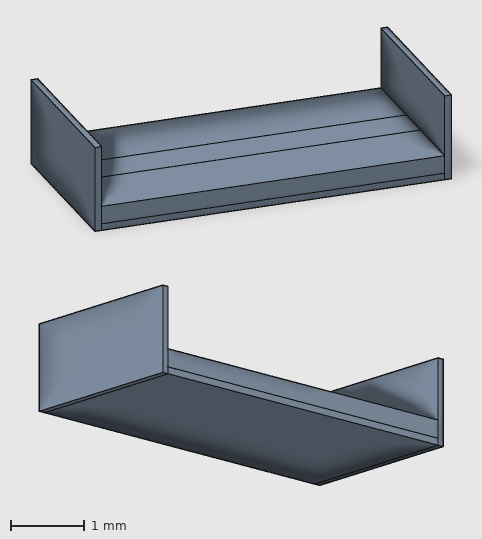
import cadquery as cq

width = 2.5
length = 5.2
height = 1.25

sheet = 0.1
floor_top = 0.36
left_strip_width = 1.0
rib_width = 0.555

inner_length = length - 2 * sheet
rib_start = left_strip_width
rib_end = rib_start + rib_width


def block(x_start, x_end, y_size, z_start, z_end):
    """Block centred on Y; x_start and x_end are measured from the left side of the part."""
    solid = cq.Workplane("XY").box(
        x_end - x_start, y_size, z_end - z_start, centered=(False, True, False)
    )
    return solid.translate((x_start - width / 2, 0, z_start))


def make_base():
    """Thin base plate with a rib along its length that separates the two strips."""
    plate = block(0, width, inner_length, 0, sheet)
    rib = block(rib_start, rib_end, inner_length, sheet, floor_top)
    return plate.union(rib)


def make_strip(x_start, x_end):
    """Flat strip lying on the base plate beside the rib."""
    return block(x_start, x_end, inner_length, sheet, floor_top)


def make_end_plate(side):
    """Upright plate closing one end; side is -1 or +1 along Y."""
    return block(0, width, sheet, 0, height).translate((0, side * (length - sheet) / 2, 0))


base = make_base()
strips = [make_strip(start, end) for start, end in ((0, rib_start), (rib_end, width))]
end_plates = [make_end_plate(side) for side in (-1, 1)]

result = cq.Compound.makeCompound([base.val(), *[body.val() for body in strips + end_plates]])